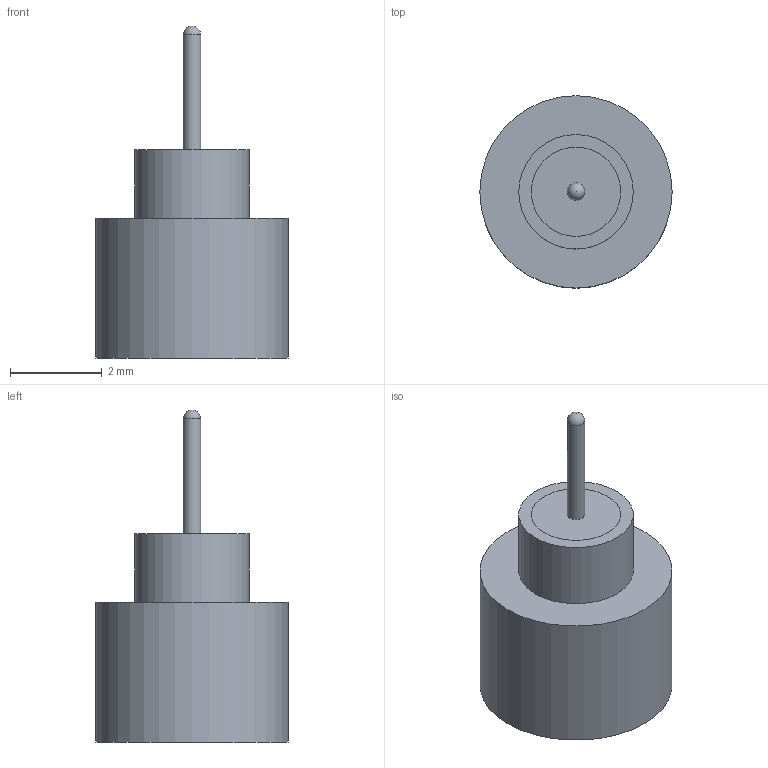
import cadquery as cq
import math

body_diameter = 4.2
body_height = 3.05
neck_diameter = 2.5
neck_height = 1.5
insulator_diameter = 1.95
pin_diameter = 0.38
total_height = 7.25

body_radius = body_diameter / 2
neck_radius = neck_diameter / 2
insulator_radius = insulator_diameter / 2
pin_radius = pin_diameter / 2
neck_top = body_height + neck_height
dome_base = total_height - pin_radius
dome_mid_offset = pin_radius * math.sqrt(0.5)


def half_profile():
    """Half section in the XZ plane, from the axis outward and up to the pin tip."""
    return (
        cq.Workplane("XZ")
        .moveTo(0, 0)
        .lineTo(body_radius, 0)
        .lineTo(body_radius, body_height)
        .lineTo(neck_radius, body_height)
        .lineTo(neck_radius, neck_top)
        .lineTo(insulator_radius, neck_top)
        .lineTo(pin_radius, neck_top)
        .lineTo(pin_radius, dome_base)
        .threePointArc((dome_mid_offset, dome_base + dome_mid_offset), (0, total_height))
        .close()
    )


def revolve_about_z(profile):
    """Turn the half section a full circle about Z, keeping the flush faces unmerged."""
    axis_start = (0, 0, 0)
    axis_end = (0, 1, 0)
    return profile.revolve(360, axis_start, axis_end, clean=False)


result = revolve_about_z(half_profile())